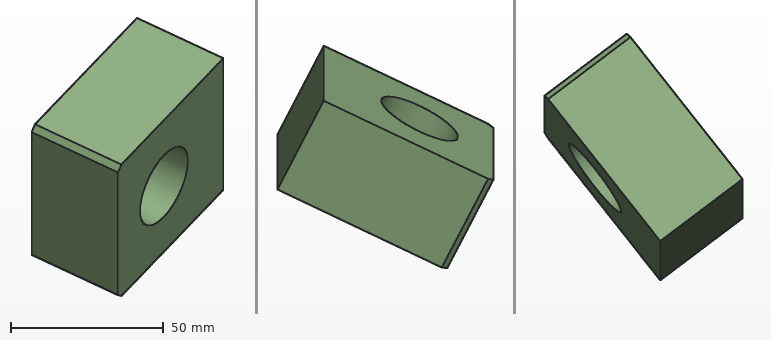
import cadquery as cq

width_x = 34.0
depth_y = 62.0
height_z = 60.0

bore_diameter = 28.0
bore_to_front_face = 27.0

chamfer_size = 2.0


def make_block():
    """Block with its front face placed so that the bore axis lies on the X axis."""
    block_center_y = depth_y / 2 - bore_to_front_face
    return cq.Workplane("XY").box(width_x, depth_y, height_z).translate((0, block_center_y, 0))


def chamfer_front_edges(block):
    """Bevel the two front edges that run along X."""
    return block.faces("<Y").edges("|X").chamfer(chamfer_size)


def make_bore():
    """Cylinder along the X axis spanning the full block width."""
    left_face = cq.Workplane("YZ").workplane(offset=-width_x / 2)
    return left_face.circle(bore_diameter / 2).extrude(width_x)


result = chamfer_front_edges(make_block()).cut(make_bore())